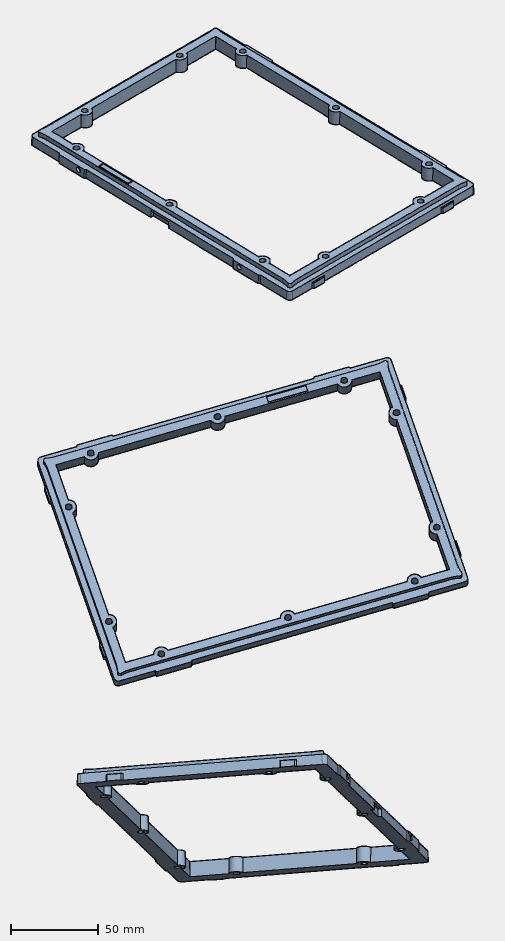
import cadquery as cq
import math

overall_height = 9.65
rim_top = 9.15
body_top = 6.1

overall_length = 214.88
overall_width = 151.23
end_pad_projection = 1.0
side_pad_projection = 0.9
body_length = overall_length - 2 * end_pad_projection
body_width = overall_width - 2 * side_pad_projection
body_corner_radius = 2.5
draft_angle = 1.5

rim_half_length = 102.75
rim_half_width = 70.8
rim_flare = 0.8
rim_flare_length = 6.2
rim_corner_radius = 1.6
flare_middle_rise = rim_flare / 4

window_length = 194.6
window_width = 131.2
window_draft_angle = 0.75

boss_radius = 4.4
screw_hole_diameter = 3.8
screw_pitch = 76.2
screw_half_span_x = 98.6
screw_half_span_y = 66.8

side_pad_length = 22.1
side_pad_center = 71.3
end_pad_length = 9.9
end_pad_center = 51.8
end_pad_height = 4.0
pad_end_chamfer = 0.8
pad_root = 3.0

notch_length = 14.6
notch_height = 4.5
notch_depth = 2.0
dimple_diameter = 3.2
dimple_depth = 2.0
dimple_center_x = 65.8
dimple_center_z = 3.4

label_length = 23.7
label_width = 3.6
label_center_x = -42.4
label_center_y = -68.4


def make_body():
    body = cq.Workplane("XY").rect(body_length, body_width).extrude(body_top, taper=draft_angle)
    return body.edges("not(#Z or |X or |Y)").fillet(body_corner_radius)


def make_corner_lobe(sign_x, sign_y):
    """Flared and rounded rim corner reaching just beyond the straight rim walls."""
    wall_x = rim_half_length
    wall_y = rim_half_width
    tip_x = wall_x + rim_flare
    tip_y = wall_y + rim_flare
    start_x = wall_x - rim_flare_length
    start_y = wall_y - rim_flare_length
    round_x = tip_x - rim_corner_radius
    round_y = tip_y - rim_corner_radius
    flare_middle_x = (start_x + round_x) / 2
    flare_middle_y = (start_y + round_y) / 2
    round_middle = rim_corner_radius * math.sqrt(0.5)

    def at(x, y):
        return (sign_x * x, sign_y * y)

    return (
        cq.Workplane("XY")
        .moveTo(*at(start_x, start_y))
        .lineTo(*at(start_x, wall_y))
        .threePointArc(at(flare_middle_x, wall_y + flare_middle_rise), at(round_x, tip_y))
        .threePointArc(at(round_x + round_middle, round_y + round_middle), at(tip_x, round_y))
        .threePointArc(at(wall_x + flare_middle_rise, flare_middle_y), at(wall_x, start_y))
        .close()
        .extrude(rim_top)
    )


def make_rim():
    rim = cq.Workplane("XY").rect(2 * rim_half_length, 2 * rim_half_width).extrude(rim_top)
    for sign_x in (-1, 1):
        for sign_y in (-1, 1):
            rim = rim.union(make_corner_lobe(sign_x, sign_y))
    return rim


def make_pad(length, projection, height):
    """Pad facing -Y from a wall on the X axis, with bevelled ends and a drafted face."""
    half = length / 2
    face_half = half - pad_end_chamfer
    lean = height * math.tan(math.radians(draft_angle))
    outline = [
        (-half, pad_root),
        (-half, 0),
        (-face_half, -projection),
        (face_half, -projection),
        (half, 0),
        (half, pad_root),
    ]
    pad = cq.Workplane("XY").polyline(outline).close().extrude(height)
    draft_wedge = (
        cq.Workplane("YZ")
        .moveTo(-projection, 0)
        .lineTo(lean - projection, height)
        .lineTo(-projection, height)
        .close()
        .extrude(half, both=True)
    )
    return pad.cut(draft_wedge)


def add_pads(part):
    side_pad = make_pad(side_pad_length, side_pad_projection, body_top)
    end_pad = make_pad(end_pad_length, end_pad_projection, end_pad_height)
    for turn in (0, 180):
        for sign in (-1, 1):
            placed = side_pad.translate((sign * side_pad_center, -body_width / 2, 0))
            part = part.union(placed.rotate((0, 0, 0), (0, 0, 1), turn))
            placed = end_pad.translate((sign * end_pad_center, -body_length / 2, 0))
            part = part.union(placed.rotate((0, 0, 0), (0, 0, 1), turn + 90))
    return part


def cut_window(part):
    window = cq.Workplane("XY").rect(window_length, window_width).extrude(rim_top, taper=-window_draft_angle)
    return part.cut(window)


def add_screw_bosses(part):
    centers = []
    for sign in (-1, 1):
        for column in (-1, 0, 1):
            centers.append((column * screw_pitch, sign * screw_half_span_y))
        for row in (-0.5, 0.5):
            centers.append((sign * screw_half_span_x, row * screw_pitch))
    rim_envelope = cq.Workplane("XY").rect(2 * rim_half_length, 2 * rim_half_width).extrude(rim_top)
    bosses = cq.Workplane("XY").pushPoints(centers).circle(boss_radius).extrude(rim_top)
    bosses = bosses.intersect(rim_envelope)
    holes = cq.Workplane("XY").pushPoints(centers).circle(screw_hole_diameter / 2).extrude(rim_top)
    return part.union(bosses).cut(holes)


def cut_front_notch(part):
    front_face = -body_width / 2
    notch = cq.Workplane("XY").box(notch_length, 2 * notch_depth, notch_height, centered=(True, True, False))
    return part.cut(notch.translate((0, front_face, 0)))


def cut_front_dimples(part):
    dimples = (
        cq.Workplane("XZ", origin=(0, -overall_width / 2, 0))
        .pushPoints([(-dimple_center_x, dimple_center_z), (dimple_center_x, dimple_center_z)])
        .circle(dimple_diameter / 2)
        .extrude(-dimple_depth)
    )
    return part.cut(dimples)


def add_label_strip(part):
    strip = (
        cq.Workplane("XY", origin=(label_center_x, label_center_y, body_top))
        .rect(label_length, label_width)
        .extrude(overall_height - body_top)
    )
    return part.union(strip)


frame = make_body().union(make_rim())
frame = add_pads(frame)
frame = cut_window(frame)
frame = add_screw_bosses(frame)
frame = cut_front_notch(frame)
frame = cut_front_dimples(frame)
result = add_label_strip(frame)